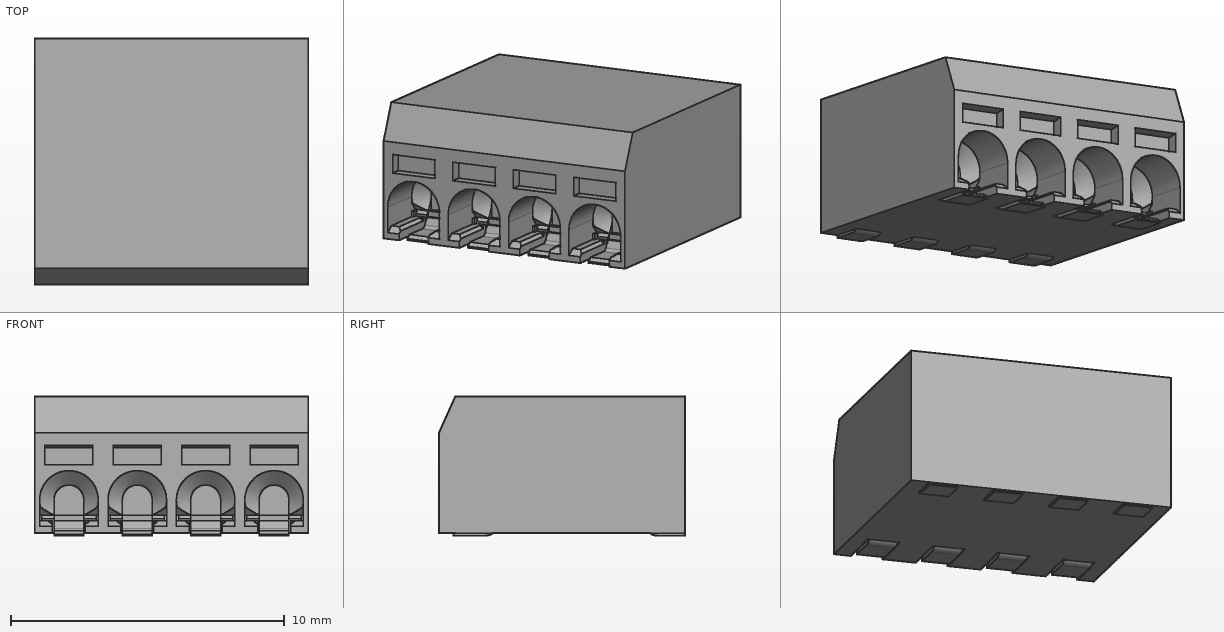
import cadquery as cq
import math

POLES = 4
PITCH = 2.5
WIDTH = POLES * PITCH
DEPTH = 9.0
HEIGHT = 5.0
BEVEL_DEPTH = 0.6
BEVEL_HEIGHT = 1.33

WINDOW_WIDTH = 1.75
WINDOW_BOTTOM = 2.5
WINDOW_TOP_FRONT = 3.2
WINDOW_TOP_BACK = 3.12
WINDOW_DEPTH = 0.45

ENTRY_Z = 1.21
ENTRY_RADIUS = 1.07
BAY_DEPTH = 1.87
LEDGE_Z = 0.44
SILL_Z = 0.24
SILL_SLOPE_DEPTH = 0.28

WIRE_RADIUS = 0.545
FUNNEL_DEPTH = ENTRY_RADIUS - WIRE_RADIUS
FUNNEL_END = BAY_DEPTH + FUNNEL_DEPTH

TROUGH_Z = 0.65
TROUGH_CEILING_FRONT_Z = 0.95
TROUGH_LIP_Z = 0.525
TROUGH_WIDTH = 1.98
TROUGH_END = BAY_DEPTH + TROUGH_CEILING_FRONT_Z - TROUGH_Z
TROUGH_LIP_Y = TROUGH_END - (TROUGH_Z - TROUGH_LIP_Z)

CONTACT_WIDTH = 2 * WIRE_RADIUS
CONTACT_SLOT_WIDTH = 1.21
CONTACT_THICKNESS = 0.18
FOOT_DROP = 0.1
FRONT_FOOT_START = 0.53
FRONT_FOOT_LENGTH = 1.19
BACK_FOOT_LENGTH = 1.03
TIP_HEIGHT = 0.06
TIP_SLOPE_DEPTH = 0.17
BEND_INNER_RADIUS = 0.2
BEND_OUTER_RADIUS = BEND_INNER_RADIUS + CONTACT_THICKNESS
BEND_ANGLE = math.radians(60)


def extrude_x(profile, width):
    """Extrude a YZ profile symmetrically about X = 0."""
    return profile.close().extrude(width / 2, both=True)


def block(width, depth, z_low, z_high):
    """Box centred in X, starting at the front face."""
    size_z = z_high - z_low
    return cq.Workplane("XY").box(width, depth, size_z, centered=(True, False, False)).translate((0, 0, z_low))


def make_housing():
    profile = cq.Workplane("YZ").polyline([
        (0, 0),
        (DEPTH, 0),
        (DEPTH, HEIGHT),
        (BEVEL_DEPTH, HEIGHT),
        (0, HEIGHT - BEVEL_HEIGHT),
    ])
    return extrude_x(profile, WIDTH)


def make_window():
    profile = cq.Workplane("YZ").polyline([
        (0, WINDOW_BOTTOM),
        (WINDOW_DEPTH, WINDOW_BOTTOM),
        (WINDOW_DEPTH, WINDOW_TOP_BACK),
        (0, WINDOW_TOP_FRONT),
    ])
    return extrude_x(profile, WINDOW_WIDTH)


def make_bay():
    bore = cq.Workplane("XZ").center(0, ENTRY_Z).circle(ENTRY_RADIUS).extrude(-BAY_DEPTH)
    sides = cq.Workplane("YZ").polyline([
        (0, SILL_Z),
        (SILL_SLOPE_DEPTH, LEDGE_Z),
        (BAY_DEPTH, LEDGE_Z),
        (BAY_DEPTH, ENTRY_Z),
        (0, ENTRY_Z),
    ])
    contact_slot = block(CONTACT_SLOT_WIDTH, TROUGH_LIP_Y, 0, LEDGE_Z)
    return bore.union(extrude_x(sides, 2 * ENTRY_RADIUS)).union(contact_slot)


def make_funnel():
    cone = cq.Workplane("XY").add(
        cq.Solid.makeCone(
            ENTRY_RADIUS,
            WIRE_RADIUS,
            FUNNEL_DEPTH,
            pnt=cq.Vector(0, BAY_DEPTH, ENTRY_Z),
            dir=cq.Vector(0, 1, 0),
        )
    )
    above_trough = block(2 * ENTRY_RADIUS, FUNNEL_END, TROUGH_Z, ENTRY_Z + ENTRY_RADIUS)
    wire_slot = block(2 * WIRE_RADIUS, FUNNEL_END, TROUGH_Z, ENTRY_Z)
    return cone.intersect(above_trough).union(wire_slot)


def make_trough():
    upper = cq.Workplane("YZ").polyline([
        (BAY_DEPTH, TROUGH_Z),
        (TROUGH_END, TROUGH_Z),
        (BAY_DEPTH, TROUGH_CEILING_FRONT_Z),
    ])
    lower = cq.Workplane("YZ").polyline([
        (BAY_DEPTH, LEDGE_Z),
        (TROUGH_LIP_Y, LEDGE_Z),
        (TROUGH_LIP_Y, TROUGH_LIP_Z),
        (TROUGH_END, TROUGH_Z),
        (BAY_DEPTH, TROUGH_Z),
    ])
    middle = block(2 * WIRE_RADIUS, TROUGH_END, LEDGE_Z, TROUGH_Z)
    return extrude_x(upper, 2 * ENTRY_RADIUS).union(extrude_x(lower, TROUGH_WIDTH)).union(middle)


def make_contact(foot_length):
    """Foot lying along +Y from its tip at Y = 0, then bent upward to the ledge height."""
    bottom_z = -FOOT_DROP
    top_z = bottom_z + CONTACT_THICKNESS
    bend_z = bottom_z + BEND_OUTER_RADIUS

    def bend_point(radius, angle):
        return (foot_length + radius * math.sin(angle), bend_z - radius * math.cos(angle))

    def ramp_end(start):
        return (start[0] + (LEDGE_Z - start[1]) / math.tan(BEND_ANGLE), LEDGE_Z)

    outer_end = bend_point(BEND_OUTER_RADIUS, BEND_ANGLE)
    inner_end = bend_point(BEND_INNER_RADIUS, BEND_ANGLE)
    profile = (
        cq.Workplane("YZ")
        .moveTo(0, bottom_z)
        .lineTo(foot_length, bottom_z)
        .threePointArc(bend_point(BEND_OUTER_RADIUS, BEND_ANGLE / 2), outer_end)
        .lineTo(*ramp_end(outer_end))
        .lineTo(*ramp_end(inner_end))
        .lineTo(*inner_end)
        .threePointArc(bend_point(BEND_INNER_RADIUS, BEND_ANGLE / 2), (foot_length, top_z))
        .lineTo(TIP_SLOPE_DEPTH, top_z)
        .lineTo(0, bottom_z + TIP_HEIGHT)
    )
    return extrude_x(profile, CONTACT_WIDTH)


result = make_housing()
entry = make_bay().union(make_funnel()).union(make_trough())
window = make_window()
front_contact = make_contact(FRONT_FOOT_LENGTH).translate((0, FRONT_FOOT_START, 0))
back_contact = make_contact(BACK_FOOT_LENGTH).mirror("XZ").translate((0, DEPTH, 0))

for pole in range(POLES):
    pole_offset = ((pole - (POLES - 1) / 2) * PITCH, 0, 0)
    result = result.cut(entry.translate(pole_offset)).cut(window.translate(pole_offset))
    result = result.union(front_contact.translate(pole_offset)).union(back_contact.translate(pole_offset))